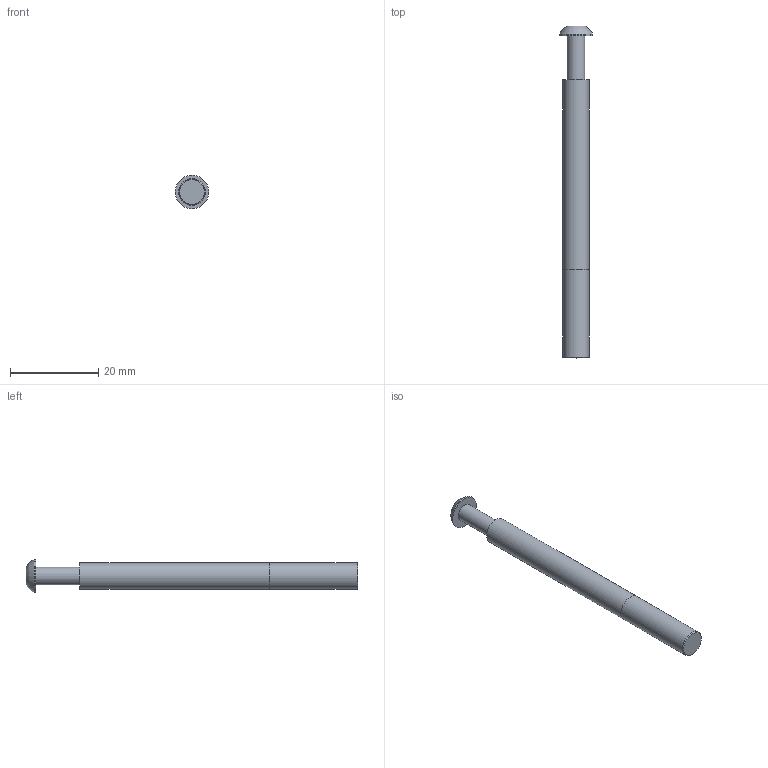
import cadquery as cq

END_LENGTH = 20.0
END_CHAMFER = 0.2
SLEEVE_LENGTH = 43.0
BODY_DIAMETER = 6.0
SHANK_LENGTH = 10.0
SHANK_DIAMETER = 4.0
HEAD_HEIGHT = 2.2
HEAD_DIAMETER = 7.6
HEAD_TOP_DIAMETER = 4.0
HEAD_RIM_HEIGHT = 0.38
DOME_BULGE = 0.2

total_length = END_LENGTH + SLEEVE_LENGTH + SHANK_LENGTH + HEAD_HEIGHT
end_face_y = -total_length / 2
joint_y = end_face_y + END_LENGTH
shoulder_y = joint_y + SLEEVE_LENGTH
head_base_y = shoulder_y + SHANK_LENGTH


def cylinder(start_y, length, diameter):
    """Solid cylinder on the Y axis, running toward +Y from start_y."""
    axis_start = cq.Vector(0, start_y, 0)
    axis_direction = cq.Vector(0, 1, 0)
    solid = cq.Solid.makeCylinder(diameter / 2, length, axis_start, axis_direction)
    return cq.Workplane(obj=solid)


def button_head():
    """Domed head with a short cylindrical rim and a flat top."""
    rim_radius = HEAD_DIAMETER / 2
    top_radius = HEAD_TOP_DIAMETER / 2
    rim_y = head_base_y + HEAD_RIM_HEIGHT
    top_y = head_base_y + HEAD_HEIGHT
    return (
        cq.Workplane("XY")
        .moveTo(0, head_base_y)
        .lineTo(rim_radius, head_base_y)
        .lineTo(rim_radius, rim_y)
        .sagittaArc((top_radius, top_y), -DOME_BULGE)
        .lineTo(0, top_y)
        .close()
        .revolve(360, (0, 0, 0), (0, 1, 0))
    )


end_section = cylinder(end_face_y, END_LENGTH, BODY_DIAMETER).faces("<Y").chamfer(END_CHAMFER)
sleeve = cylinder(joint_y, SLEEVE_LENGTH, BODY_DIAMETER)
shank = cylinder(shoulder_y, SHANK_LENGTH, SHANK_DIAMETER)

result = end_section
for section in (sleeve, shank, button_head()):
    result = result.union(section, clean=False)